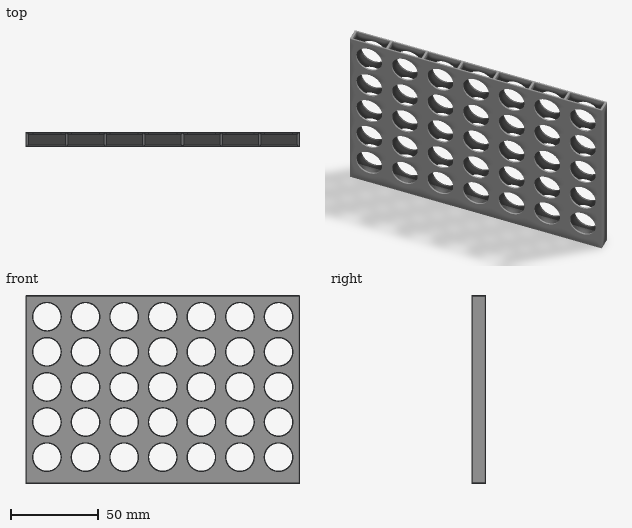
import cadquery as cq

length = 156.0
depth = 8.0
height = 107.0

face_wall = 1.0
upright_wall = 1.5
floor_thickness = 5.0
edge_radius = 0.45

columns = 7
rows = 5
hole_diameter = 16.0
grid_border = 1.0
top_row_inset = 12.0
bottom_row_height = 15.0

column_pitch = (length - 2 * grid_border) / columns
row_pitch = (height - top_row_inset - bottom_row_height) / (rows - 1)


def rounded_block():
    """Outer block with every edge rounded except the two long bottom edges."""
    block = cq.Workplane("XY").box(length, depth, height, centered=(True, True, False))
    return block.edges("not(<Z and |X)").fillet(edge_radius)


def compartment_right(column):
    """X of a compartment's right wall, stepping back from the right end wall."""
    return length / 2 - upright_wall - (columns - 1 - column) * column_pitch


def compartment_left(column):
    """X of a compartment's left wall: the left end wall or the divider before it."""
    if column == 0:
        return -length / 2 + upright_wall
    return compartment_right(column - 1) + upright_wall


def cut_compartment(body, column):
    """Cut one slot down from the top to the floor and round its rim."""
    left = compartment_left(column)
    width = compartment_right(column) - left
    slot_depth = depth - 2 * face_wall
    slot = cq.Workplane("XY").box(width, slot_depth, height - floor_thickness, centered=False)
    slot = slot.translate((left, -slot_depth / 2, floor_thickness))
    rim = cq.selectors.BoxSelector(
        (left - edge_radius / 2, -depth / 2 + edge_radius, height - edge_radius),
        (left + width + edge_radius / 2, depth / 2 - edge_radius, height + edge_radius),
    )
    return body.cut(slot).faces(">Z").edges(rim).fillet(edge_radius)


def windows():
    """Round holes passing through both the front and back walls."""
    centres = [
        ((column - (columns - 1) / 2) * column_pitch, bottom_row_height + row * row_pitch)
        for column in range(columns)
        for row in range(rows)
    ]
    return (
        cq.Workplane("XZ")
        .pushPoints(centres)
        .circle(hole_diameter / 2)
        .extrude(depth / 2, both=True)
    )


rack = rounded_block()
for column in range(columns):
    rack = cut_compartment(rack, column)
result = rack.cut(windows())